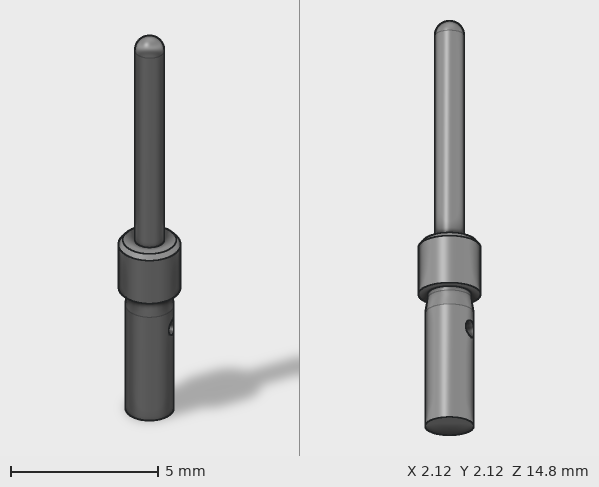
import cadquery as cq

total_height = 14.8
pin_radius = 0.5
collar_diameter = 2.12
collar_radius = collar_diameter / 2
neck_radius = 0.74
barrel_radius = 0.83

barrel_height = 4.15
neck_bottom = 4.69
collar_bottom = 4.82
collar_top = 6.72
chamfer_width = 0.15
chamfer_height = 0.18

side_hole_radius = 0.3
side_hole_height = 3.4


def turned_body():
    """Revolve barrel, tapered neck, chamfered collar and round-ended pin."""
    dome_base = total_height - pin_radius
    dome_offset = pin_radius / 2**0.5
    profile = (
        cq.Workplane("XZ")
        .lineTo(barrel_radius, 0)
        .lineTo(barrel_radius, barrel_height)
        .lineTo(neck_radius, neck_bottom)
        .lineTo(neck_radius, collar_bottom)
        .lineTo(collar_radius, collar_bottom)
        .lineTo(collar_radius, collar_top - chamfer_height)
        .lineTo(collar_radius - chamfer_width, collar_top)
        .lineTo(pin_radius, collar_top)
        .lineTo(pin_radius, dome_base)
        .threePointArc((dome_offset, dome_base + dome_offset), (0, total_height))
        .close()
    )
    return profile.revolve(360, (0, 0, 0), (0, 1, 0))


def side_hole():
    """Radial inspection hole from the +X side of the barrel to its axis."""
    return (
        cq.Workplane("YZ")
        .center(0, side_hole_height)
        .circle(side_hole_radius)
        .extrude(collar_radius)
    )


result = turned_body().cut(side_hole())